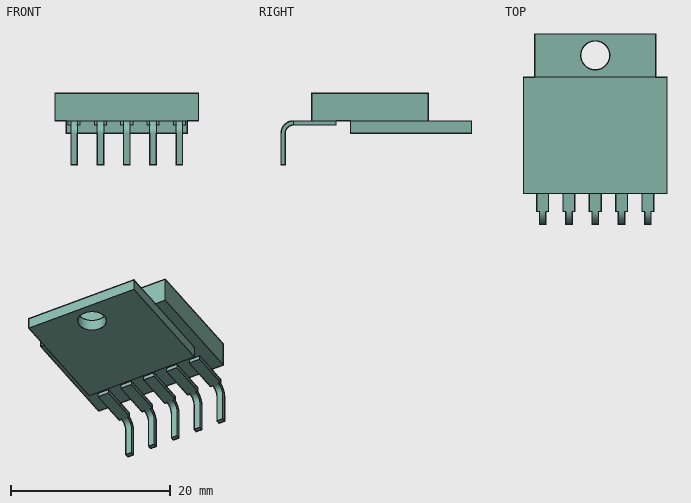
import cadquery as cq

body_width = 18.0
body_length = 14.6
body_height = 3.45

tab_width = 15.2
tab_length = 15.17
tab_thickness = 1.57
tab_overhang = 5.41
hole_diameter = 3.6

lead_count = 5
lead_pitch = 3.3
lead_thickness = 0.55
foot_width = 1.5
foot_length = 5.32
leg_width = 0.83
leg_drop = 5.53
bend_radius = 1.57

total_length = 23.85
rear_y = total_length / 2
leg_front_y = -total_length / 2
body_rear_y = rear_y - tab_overhang
bend_start_y = leg_front_y + bend_radius
bend_inner_radius = bend_radius - lead_thickness


def block(width, y_rear, length, z_bottom, height):
    """Box centred on X that runs forward from its rear face."""
    return cq.Workplane("XY").box(width, length, height, centered=(True, False, False)).translate(
        (0, y_rear - length, z_bottom)
    )


def make_tab():
    tab = block(tab_width, rear_y, tab_length, -tab_thickness, tab_thickness)
    hole = (
        cq.Workplane("XY", origin=(0, rear_y - tab_overhang / 2, -tab_thickness))
        .circle(hole_diameter / 2)
        .extrude(tab_thickness)
    )
    return tab.cut(hole)


def make_lead():
    foot = block(foot_width, bend_start_y + foot_length, foot_length, -lead_thickness, lead_thickness)
    leg = (
        cq.Workplane("YZ")
        .moveTo(bend_start_y, 0)
        .radiusArc((leg_front_y, -bend_radius), -bend_radius)
        .lineTo(leg_front_y, -leg_drop)
        .lineTo(leg_front_y + lead_thickness, -leg_drop)
        .lineTo(leg_front_y + lead_thickness, -bend_radius)
        .radiusArc((bend_start_y, -lead_thickness), bend_inner_radius)
        .close()
        .extrude(leg_width / 2, both=True)
    )
    return foot.union(leg)


result = block(body_width, body_rear_y, body_length, 0, body_height).union(make_tab())

lead = make_lead()
for index in range(lead_count):
    lead_x = (index - (lead_count - 1) / 2) * lead_pitch
    result = result.union(lead.translate((lead_x, 0, 0)))